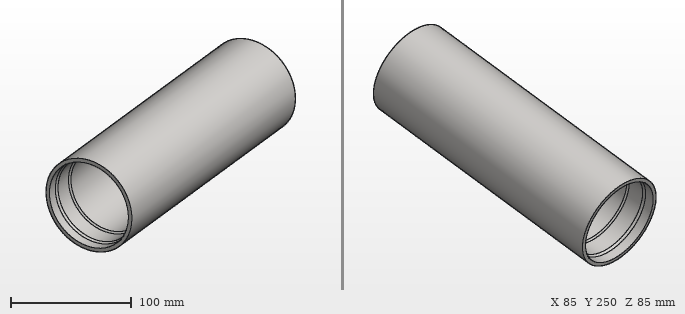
import cadquery as cq

length = 250.0
outer_radius = 42.5
mouth_radius = 39.0
seat_radius = 38.0
bore_radius = 36.5

mouth_depth = 9.0
seat_start = 11.5
seat_end = 27.5
bore_start = 29.0

front_y = -length / 2
back_y = length / 2

wall_section = [
    (front_y, outer_radius),
    (front_y, mouth_radius),
    (front_y + mouth_depth, mouth_radius),
    (front_y + seat_start, seat_radius),
    (front_y + seat_end, seat_radius),
    (front_y + bore_start, bore_radius),
    (back_y, bore_radius),
    (back_y, outer_radius),
]

result = (
    cq.Workplane("YZ")
    .polyline(wall_section)
    .close()
    .revolve(360, (0, 0, 0), (1, 0, 0))
)